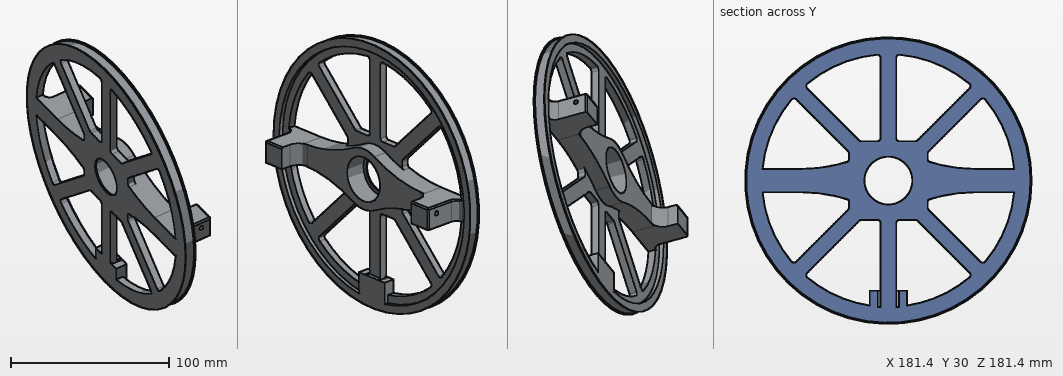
import cadquery as cq
import math

rim_radius = 90.7
rim_wall_radius = 85.3
pocket_radius = 79.8
rim_depth = 8.0
flange_land = 0.45
groove_slope = 0.5
groove_depth = 0.7
bore_radius = 12.5
bore_lip = 1.0
bore_seat_radius = 15.0

web_depth = 5.0
hub_square = 49.9
spoke_width = 10.0
spoke_angles = (45, 90, 135)
pocket_fillet = 2.0

arm_half_width = 7.5
bar_depth = 15.0
bar_hub_radius = 20.9
flare_radius = 99.8

lug_inner_x = 59.7
lug_outer_x = 75.3
lug_top = 30.0
lug_inner_fillet = 8.0
lug_root_fillet = 4.9
lug_chamfer = 1.0
pin_diameter = 2.9
pin_depth = 5.5
pin_y = 22.5
pin_z = 2.2

key_width = 23.5
key_top_z = -69.7
notch_width = 1.6
notch_front = 0.9
notch_back = 6.7


def plane_at(y):
    """XZ sketch plane at depth y whose extrusions run toward +Y when negative."""
    return cq.Workplane("XZ", origin=(0, y, 0))


def box_between(x_range, y_range, z_range):
    """Box spanning the given (low, high) pairs."""
    sizes = [high - low for low, high in (x_range, y_range, z_range)]
    corner = (x_range[0], y_range[0], z_range[0])
    return cq.Workplane("XY", origin=corner).box(*sizes, centered=False)


def make_rim():
    """Ring with a shallow groove with sloped sides around its outside."""
    floor_radius = rim_radius - groove_depth
    floor_start = flange_land + groove_slope
    profile = [
        (rim_wall_radius, 0),
        (rim_radius, 0),
        (rim_radius, flange_land),
        (floor_radius, floor_start),
        (floor_radius, rim_depth - floor_start),
        (rim_radius, rim_depth - flange_land),
        (rim_radius, rim_depth),
        (rim_wall_radius, rim_depth),
    ]
    return cq.Workplane("XY").polyline(profile).close().revolve(360, (0, 0, 0), (0, 1, 0))


def make_crossbar(reach, depth):
    """Crossbar from y = 0 to depth, with straight arms ending at x = +-reach."""
    flare_center_z = arm_half_width + flare_radius
    center_distance = flare_radius + bar_hub_radius
    flare_x = math.sqrt(center_distance**2 - flare_center_z**2)
    touch_x = flare_x * bar_hub_radius / center_distance
    touch_z = flare_center_z * bar_hub_radius / center_distance
    half_sweep = math.asin(flare_x / center_distance) / 2
    mid_x = flare_x - flare_radius * math.sin(half_sweep)
    mid_z = flare_center_z - flare_radius * math.cos(half_sweep)
    return (
        plane_at(0)
        .moveTo(-reach, arm_half_width)
        .lineTo(-flare_x, arm_half_width)
        .threePointArc((-mid_x, mid_z), (-touch_x, touch_z))
        .threePointArc((0, bar_hub_radius), (touch_x, touch_z))
        .threePointArc((mid_x, mid_z), (flare_x, arm_half_width))
        .lineTo(reach, arm_half_width)
        .lineTo(reach, -arm_half_width)
        .lineTo(flare_x, -arm_half_width)
        .threePointArc((mid_x, -mid_z), (touch_x, -touch_z))
        .threePointArc((0, -bar_hub_radius), (-touch_x, -touch_z))
        .threePointArc((-mid_x, -mid_z), (-flare_x, -arm_half_width))
        .lineTo(-reach, -arm_half_width)
        .close()
        .extrude(-depth)
    )


def make_web():
    """Hub plate, spokes and a ring joining them, with rounded pocket corners."""
    web = plane_at(0).circle(rim_wall_radius).circle(pocket_radius).extrude(-web_depth)
    web = web.union(plane_at(0).rect(hub_square, hub_square).extrude(-web_depth))
    spoke = plane_at(0).rect(2 * pocket_radius, spoke_width).extrude(-web_depth)
    for angle in spoke_angles:
        web = web.union(spoke.rotate((0, 0, 0), (0, 1, 0), angle))
    web = web.union(make_crossbar(pocket_radius, web_depth))

    def is_rounded(edge):
        center = edge.Center()
        radius = math.hypot(center.x, center.z)
        at_arm_end = abs(center.z) < 1.1 * arm_half_width
        is_corner = hub_square / 2 < radius < 1.001 * pocket_radius
        at_flare_start = abs(abs(center.z) - arm_half_width) < 0.02
        return is_corner and not at_arm_end and not at_flare_start

    corners = [edge for edge in web.edges("|Y").vals() if is_rounded(edge)]
    return web.newObject(corners).fillet(pocket_fillet)


def make_lug_root():
    """Concave blend from the outer end of the +X lug, following its chamfer, to the web."""

    def blend_face(z):
        corner = cq.Workplane("XY", origin=(lug_outer_x, web_depth, z))
        outline = (
            corner.lineTo(lug_root_fillet, 0)
            .radiusArc((0, lug_root_fillet), lug_root_fillet)
            .close()
        )
        return cq.Face.makeFromWires(outline.val())

    straight_width = 2 * arm_half_width - lug_chamfer
    along_end = cq.Vector(0, 0, straight_width)
    along_chamfer = cq.Vector(-lug_chamfer, 0, lug_chamfer)
    straight = cq.Solid.extrudeLinear(blend_face(-arm_half_width), along_end)
    slanted = cq.Solid.extrudeLinear(blend_face(arm_half_width - lug_chamfer), along_chamfer)
    return cq.Workplane(straight).union(cq.Workplane(slanted))


def make_lug():
    """Lug on the +X arm: concave inside, chamfered outside, with a root blend and a blind pin hole."""
    lug = (
        cq.Workplane("XY", origin=(0, 0, -arm_half_width))
        .moveTo(lug_inner_x - lug_inner_fillet, web_depth)
        .lineTo(lug_inner_x - lug_inner_fillet, bar_depth)
        .radiusArc((lug_inner_x, bar_depth + lug_inner_fillet), -lug_inner_fillet)
        .lineTo(lug_inner_x, lug_top)
        .lineTo(lug_outer_x, lug_top)
        .lineTo(lug_outer_x, web_depth)
        .close()
        .extrude(2 * arm_half_width)
        .faces(">X or >Y")
        .edges("(>X and >Y) or (>X and >Z) or (>Y and >Z)")
        .chamfer(lug_chamfer)
    )
    pin_hole = (
        cq.Workplane("YZ", origin=(lug_outer_x, pin_y, pin_z))
        .circle(pin_diameter / 2)
        .extrude(-pin_depth)
    )
    return lug.union(make_lug_root()).cut(pin_hole)


def make_key():
    """Block at the bottom of the rim, as deep as the rim."""
    key_x = key_width / 2
    return box_between((-key_x, key_x), (0, rim_depth), (-rim_wall_radius - 1.8, key_top_z))


def make_key_notch():
    """Notch in the key block beside the +X side of the bottom spoke."""
    start_x = spoke_width / 2
    x_range = (start_x, start_x + notch_width)
    return box_between(x_range, (notch_front, notch_back), (-pocket_radius, key_top_z))


lug = make_lug()
notch = make_key_notch()
result = (
    make_rim()
    .union(make_web())
    .union(make_crossbar(lug_inner_x, bar_depth))
    .union(lug)
    .union(lug.mirror("YZ"))
    .union(make_key())
    .cut(notch)
    .cut(notch.mirror("YZ"))
    .cut(plane_at(0).circle(bore_radius).extrude(-bar_depth))
    .cut(plane_at(bore_lip).circle(bore_seat_radius).extrude(-bar_depth))
)